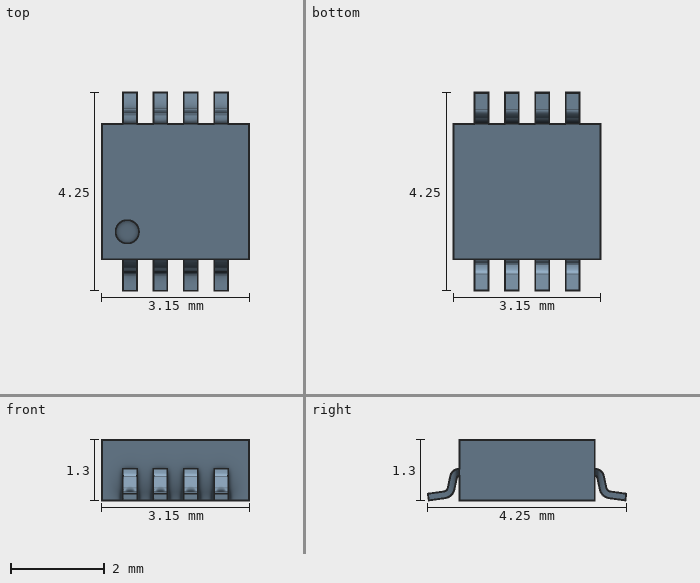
import cadquery as cq
import math

body_x = 3.15
body_y = 2.9
body_z = 1.3

marker_diameter = 0.5
marker_depth = 0.1
marker_x = -1.033
marker_y = -0.86

span_y = 4.25
leads_per_side = 4
lead_pitch = 0.65
lead_width = 0.3
lead_thickness = 0.15
lead_top_z = 0.68
lead_embed = 0.085
riser_lean = 12.0
foot_slope = 8.0
upper_inner_radius = 0.05
lower_inner_radius = 0.098
upper_outer_radius = upper_inner_radius + lead_thickness
lower_outer_radius = lower_inner_radius + lead_thickness


def polar(center, radius, angle):
    """Point at a distance and an angle in degrees from a center in the YZ plane."""
    radians = math.radians(angle)
    return (center[0] + radius * math.cos(radians), center[1] + radius * math.sin(radians))


def make_lead():
    """One lead leaving the +Y face, centered on X = 0."""
    face_y = body_y / 2
    upper_center = (face_y, lead_top_z - upper_outer_radius)

    lean = math.radians(riser_lean)
    slope = math.radians(foot_slope)
    bend_start = polar(upper_center, upper_outer_radius + lower_inner_radius, riser_lean)
    reach = span_y / 2 - bend_start[0] + lower_inner_radius * math.sin(slope)
    drop = bend_start[1] - lower_outer_radius * math.cos(slope)
    turn = math.cos(lean + slope)
    riser_length = (drop * math.cos(slope) - reach * math.sin(slope)) / turn
    foot_length = (reach * math.cos(lean) - drop * math.sin(lean)) / turn

    upper_mid_angle = (90 + riser_lean) / 2
    lower_start_angle = 180 + riser_lean
    lower_end_angle = 270 - foot_slope
    lower_mid_angle = (lower_start_angle + lower_end_angle) / 2
    lower_center = polar(bend_start, riser_length, riser_lean - 90)

    def upper(radius, angle):
        return polar(upper_center, radius, angle)

    def lower(radius, angle):
        return polar(lower_center, radius, angle)

    tip_top = polar(lower(lower_inner_radius, lower_end_angle), foot_length, -foot_slope)
    tip_bottom = polar(lower(lower_outer_radius, lower_end_angle), foot_length, -foot_slope)

    return (
        cq.Workplane("YZ")
        .moveTo(face_y - lead_embed, lead_top_z)
        .lineTo(face_y, lead_top_z)
        .threePointArc(
            upper(upper_outer_radius, upper_mid_angle), upper(upper_outer_radius, riser_lean)
        )
        .lineTo(*lower(lower_inner_radius, lower_start_angle))
        .threePointArc(
            lower(lower_inner_radius, lower_mid_angle), lower(lower_inner_radius, lower_end_angle)
        )
        .lineTo(*tip_top)
        .lineTo(*tip_bottom)
        .lineTo(*lower(lower_outer_radius, lower_end_angle))
        .threePointArc(
            lower(lower_outer_radius, lower_mid_angle), lower(lower_outer_radius, lower_start_angle)
        )
        .lineTo(*upper(upper_inner_radius, riser_lean))
        .threePointArc(
            upper(upper_inner_radius, upper_mid_angle), upper(upper_inner_radius, 90)
        )
        .lineTo(face_y - lead_embed, lead_top_z - lead_thickness)
        .close()
        .extrude(lead_width / 2, both=True)
    )


def make_body():
    """Rectangular body with the marker recess."""
    block = cq.Workplane("XY").box(body_x, body_y, body_z, centered=(True, True, False))
    marker = (
        cq.Workplane("XY", origin=(marker_x, marker_y, body_z))
        .circle(marker_diameter / 2)
        .extrude(-marker_depth)
    )
    return block.cut(marker)


result = make_body()
back_lead = make_lead()
front_lead = back_lead.mirror("XZ")
for index in range(leads_per_side):
    lead_x = (index - (leads_per_side - 1) / 2) * lead_pitch
    for lead in (back_lead, front_lead):
        result = result.union(lead.translate((lead_x, 0, 0)))